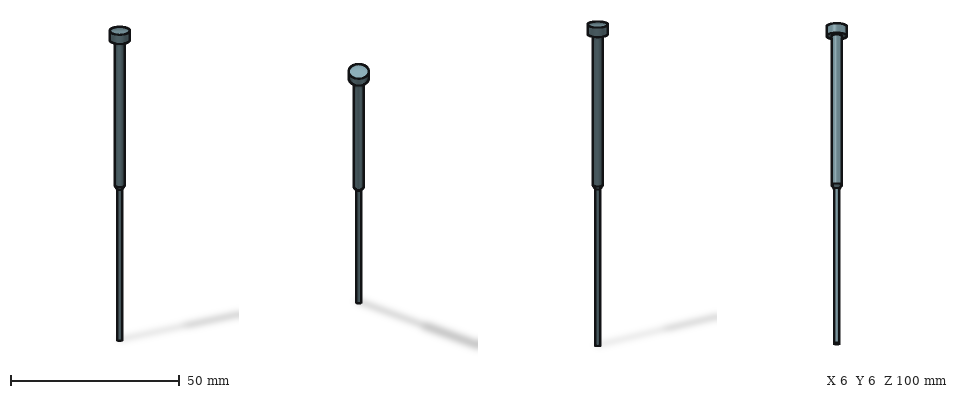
import math

import cadquery as cq

total_length = 100.0
head_diameter = 6.0
head_height = 3.0
shank_diameter = 3.0
shank_end_from_top = 50.0
tip_diameter = 1.6
cone_half_angle = 30.0

head_radius = head_diameter / 2
shank_radius = shank_diameter / 2
tip_radius = tip_diameter / 2
cone_length = (shank_radius - tip_radius) / math.tan(math.radians(cone_half_angle))

head_bottom = -head_height
shank_bottom = -shank_end_from_top
cone_bottom = shank_bottom - cone_length
tip_bottom = -total_length


def pin_profile():
    """Half section of the pin on the -X side of the XZ plane, closed along the Z axis."""
    return (
        cq.Workplane("XZ")
        .moveTo(0, 0)
        .lineTo(-head_radius, 0)
        .lineTo(-head_radius, head_bottom)
        .lineTo(-shank_radius, head_bottom)
        .lineTo(-shank_radius, shank_bottom)
        .lineTo(-tip_radius, cone_bottom)
        .lineTo(-tip_radius, tip_bottom)
        .lineTo(0, tip_bottom)
        .close()
    )


result = pin_profile().revolve(360, (0, 0, 0), (0, 1, 0))